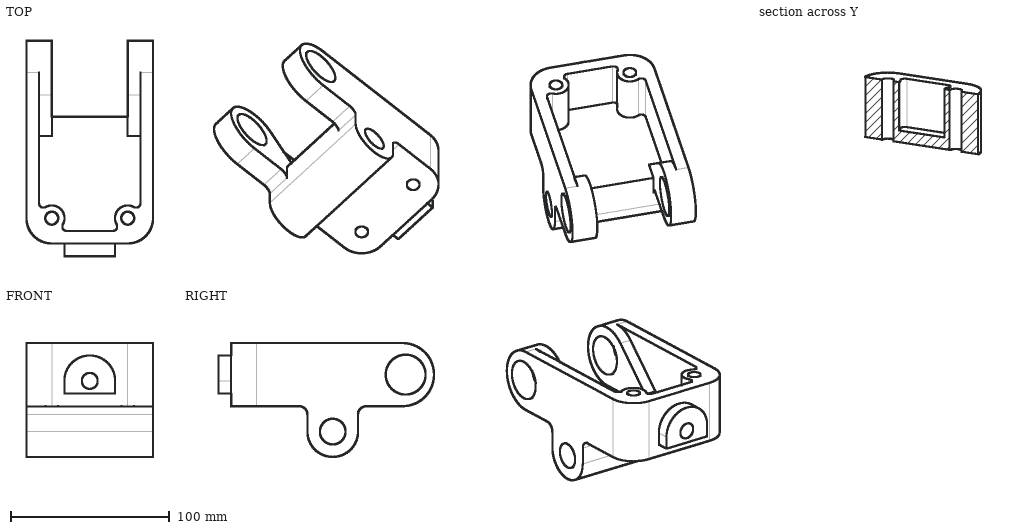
import cadquery as cq
import math

overall_length = 136.0
width = 80.0
wall = 8.0
lug_radius = 20.0
lug_hole_diameter = 25.0
lug_hole_offset = 2.0
hanger_radius = 16.0
hanger_drop = 32.0
hanger_y = 64.0
hanger_hole_diameter = 16.0
hanger_fillet = 5.0
corner_radius = 16.0
pillar_radius = 8.0
pillar_fillet = 2.7
screw_hole_diameter = 8.0
boss_radius = 16.0
boss_hole_diameter = 10.0
boss_hole_depth = 12.0

body_length = overall_length - wall
height = 2 * lug_radius
lug_y = body_length - lug_radius
lug_thickness = 2 * wall
half_width = width / 2
inner_half_width = half_width - wall
gap_half_width = half_width - lug_thickness
hanger_z = hanger_radius - hanger_drop
hanger_front = hanger_y - hanger_radius
floor_end = hanger_y + hanger_radius
pillar_x = inner_half_width - pillar_radius
pillar_y = wall + pillar_radius
boss_z = boss_radius


def cylinder_x(y, z, radius):
    """Cylinder along X spanning the full width."""
    return cq.Workplane("YZ").center(y, z).circle(radius).extrude(width).translate((-half_width, 0, 0))


def box_between(x_range, y_range, z_range):
    """Axis-aligned box between pairs of limits."""
    ranges = (x_range, y_range, z_range)
    sizes = [high - low for low, high in ranges]
    return cq.Workplane("XY").box(*sizes, centered=False).translate([low for low, high in ranges])


def make_envelope():
    """Solid body with rounded arm ends, hanging block and rounded front corners."""
    full_x = (-half_width, half_width)
    body = box_between(full_x, (0, lug_y), (0, height))
    body = body.edges("|Z and <Y").fillet(corner_radius)
    body = body.union(cylinder_x(lug_y, lug_radius, lug_radius))
    hanger = box_between(full_x, (hanger_front, floor_end), (hanger_z, wall))
    hanger = hanger.union(cylinder_x(hanger_y, hanger_z, hanger_radius))
    body = body.union(hanger)
    root_margin = hanger_fillet / 2
    root_edges = cq.selectors.BoxSelector(
        (-half_width, hanger_front - root_margin, -root_margin),
        (half_width, floor_end + root_margin, root_margin),
    )
    return body.edges("|X").edges(root_edges).fillet(hanger_fillet)


def make_cavity():
    """Space above the floor, wrapped around the two screw pillars."""
    reach = 2 * math.sqrt(pillar_radius * pillar_fillet)
    contact_share = pillar_radius / (pillar_radius + pillar_fillet)
    contact_near = (pillar_radius - pillar_fillet) * contact_share
    contact_far = reach * contact_share
    diagonal = math.sqrt(0.5)

    def pillar_point(across, along):
        return pillar_x + across, pillar_y + along

    side_start = pillar_point(pillar_radius, reach)
    side_middle = pillar_point(
        pillar_radius - pillar_fillet * (1 - diagonal), reach - pillar_fillet * diagonal
    )
    side_contact = pillar_point(contact_near, contact_far)
    pillar_middle = pillar_point(-pillar_radius * diagonal, pillar_radius * diagonal)
    front_contact = pillar_point(-contact_far, -contact_near)
    front_middle = pillar_point(
        -reach + pillar_fillet * diagonal, -pillar_radius + pillar_fillet * (1 - diagonal)
    )
    front_end = pillar_point(-reach, -pillar_radius)

    half = (
        cq.Workplane("XY", origin=(0, 0, wall))
        .moveTo(0, body_length)
        .lineTo(inner_half_width, body_length)
        .lineTo(*side_start)
        .threePointArc(side_middle, side_contact)
        .threePointArc(pillar_middle, front_contact)
        .threePointArc(front_middle, front_end)
        .lineTo(0, wall)
        .close()
        .extrude(height - wall)
    )
    return half.union(half.mirror("YZ"))


def make_lug_pads():
    """Space kept solid to thicken both arms, sloping at 45 degrees down to the floor."""
    tangent_offset = lug_radius * math.sqrt(0.5)
    slope_y = lug_y - tangent_offset
    slope_z = lug_radius + tangent_offset
    half_angle = math.radians(45) / 2
    arc_middle = (
        lug_y - lug_radius * math.sin(half_angle),
        lug_radius + lug_radius * math.cos(half_angle),
    )
    profile = (
        cq.Workplane("YZ", origin=(gap_half_width, 0, 0))
        .moveTo(slope_y - slope_z, 0)
        .lineTo(slope_y, slope_z)
        .threePointArc(arc_middle, (lug_y, height))
        .lineTo(body_length, height)
        .lineTo(body_length, 0)
        .close()
    )
    pad = profile.extrude(lug_thickness)
    return pad.union(pad.mirror("YZ"))


def make_boss():
    """Flat-bottomed round boss on the front face."""
    boss = (
        cq.Workplane("XZ")
        .moveTo(-boss_radius, wall)
        .lineTo(boss_radius, wall)
        .lineTo(boss_radius, boss_z)
        .threePointArc((0, boss_z + boss_radius), (-boss_radius, boss_z))
        .close()
        .extrude(wall)
    )
    return boss


arm_gap = box_between(
    (-gap_half_width, gap_half_width), (floor_end, body_length), (-hanger_fillet, height)
)
result = make_envelope().cut(make_cavity().cut(make_lug_pads())).cut(arm_gap).union(make_boss())

result = result.cut(cylinder_x(lug_y + lug_hole_offset, lug_radius, lug_hole_diameter / 2))
result = result.cut(cylinder_x(hanger_y, hanger_z, hanger_hole_diameter / 2))
for side in (-1, 1):
    screw_hole = (
        cq.Workplane("XY").center(side * pillar_x, pillar_y).circle(screw_hole_diameter / 2).extrude(height)
    )
    result = result.cut(screw_hole)
boss_hole = (
    cq.Workplane("XZ", origin=(0, boss_hole_depth - wall, 0))
    .center(0, boss_z)
    .circle(boss_hole_diameter / 2)
    .extrude(boss_hole_depth)
)
result = result.cut(boss_hole)